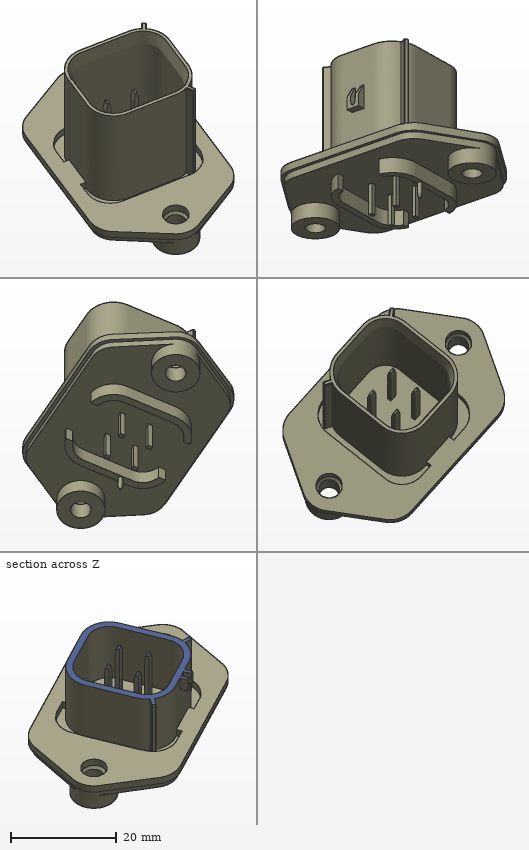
import cadquery as cq
import math

SKIRT_BOTTOM = 3.25
LOWER_BOTTOM = 6.4
UPPER_BOTTOM = 7.85
FLANGE_TOP = 9.45
SHELL_TOP = 31.1

FLANGE_LENGTH = 48.25
FLANGE_WIDTH = 30.5
FLAT_HALF = 12.7
CORNER_RADIUS = 5.4
TIP_RADIUS = 5.1
LOWER_CORNER_INSET = 0.68
HOLE_X = FLANGE_LENGTH / 2 - TIP_RADIUS

BOSS_RADIUS = 4.6
HOLE_DIAMETER = 3.9
COUNTERBORE_DIAMETER = 4.95
HOLE_CONE_DEPTH = (COUNTERBORE_DIAMETER - HOLE_DIAMETER) / 2

SHELL_LENGTH = 19.0
SHELL_WIDTH = 21.95
SHELL_RADIUS = 5.75
SHELL_WALL = 1.45
RIM_WALL = 0.68
LEAD_IN_DEPTH = 2.75

RECESS_LENGTH = 22.1
RECESS_WIDTH = 24.2
RECESS_RADIUS = 4.8
BRIDGE_WIDTH = 6.75

SKIRT_WIDTH = 21.7
SKIRT_RADIUS = SHELL_RADIUS - (SHELL_WIDTH - SKIRT_WIDTH) / 2
SKIRT_GAP = 9.95

RIB_ANGLE = 30.0
RIB_REACH = 7.4
RIB_THICKNESS = 0.9
RIB_CHAMFER = 0.2

LATCH_WIDTH = 2.8
LATCH_REACH = 1.6
LATCH_BOTTOM = 18.15
LATCH_TOP = 23.15
LATCH_SHOULDER = 20.25
LATCH_BEND_OUT = 0.4
LATCH_BEND_UP = 1.1
LATCH_GROOVE_ROOT = 0.95
LATCH_GROOVE_MOUTH = 1.35
LATCH_GROOVE_BOTTOM = 18.8

PIN_PITCH_X = 5.85
PIN_PITCH_Y = 6.0
CONTACT_LENGTH = 1.55
CONTACT_WIDTH = 0.85
CONTACT_TIP_LENGTH = 1.1
CONTACT_TIP_WIDTH = 0.4
CONTACT_TOP = 21.8
CONTACT_TAPER = 1.95
TAIL_LENGTH = 0.8
TAIL_WIDTH = 0.95

PEG_X = -8.7
PEG_Y = PIN_PITCH_Y / 2
PEG_DIAMETER = 0.9
PEG_TIP_DIAMETER = 0.4
PEG_TAPER = 0.9


def rounded_block(length, width, radius, bottom, top):
    block = cq.Workplane("XY", origin=(0, 0, bottom)).rect(length, width).extrude(top - bottom)
    return block.edges("|Z").fillet(radius)


def cylinder(x, y, radius, bottom, top):
    return cq.Workplane("XY", origin=(x, y, bottom)).circle(radius).extrude(top - bottom)


def flange_layer(corner_radius, tip_radius, bottom, top):
    """Plate whose outline wraps four corner circles and two tip circles."""
    corner_y = FLANGE_WIDTH / 2 - CORNER_RADIUS
    run = HOLE_X - FLAT_HALF
    spacing = math.hypot(run, corner_y)
    normal = math.atan2(run, corner_y) + math.asin((corner_radius - tip_radius) / spacing)
    middle = (normal + math.pi / 2) / 2

    def on_corner(angle, sx, sy):
        x = FLAT_HALF + corner_radius * math.cos(angle)
        y = corner_y + corner_radius * math.sin(angle)
        return (sx * x, sy * y)

    def on_tip(angle, sx, sy):
        return (sx * (HOLE_X + tip_radius * math.cos(angle)), sy * tip_radius * math.sin(angle))

    top_angle = math.pi / 2
    outline = (
        cq.Workplane("XY", origin=(0, 0, bottom))
        .moveTo(*on_corner(top_angle, -1, 1))
        .lineTo(*on_corner(top_angle, 1, 1))
        .threePointArc(on_corner(middle, 1, 1), on_corner(normal, 1, 1))
        .lineTo(*on_tip(normal, 1, 1))
        .threePointArc(on_tip(0, 1, 1), on_tip(normal, 1, -1))
        .lineTo(*on_corner(normal, 1, -1))
        .threePointArc(on_corner(middle, 1, -1), on_corner(top_angle, 1, -1))
        .lineTo(*on_corner(top_angle, -1, -1))
        .threePointArc(on_corner(middle, -1, -1), on_corner(normal, -1, -1))
        .lineTo(*on_tip(normal, -1, -1))
        .threePointArc(on_tip(0, -1, 1), on_tip(normal, -1, 1))
        .lineTo(*on_corner(normal, -1, 1))
        .threePointArc(on_corner(middle, -1, 1), on_corner(top_angle, -1, 1))
        .close()
    )
    return outline.extrude(top - bottom)


def flange():
    upper = flange_layer(CORNER_RADIUS, TIP_RADIUS, UPPER_BOTTOM, FLANGE_TOP)
    recess = rounded_block(RECESS_LENGTH, RECESS_WIDTH, RECESS_RADIUS, UPPER_BOTTOM, FLANGE_TOP)
    bridge = cq.Workplane("XY").box(BRIDGE_WIDTH, RECESS_WIDTH, 2 * FLANGE_TOP)
    lower_corner = CORNER_RADIUS - LOWER_CORNER_INSET
    lower = flange_layer(lower_corner, BOSS_RADIUS, LOWER_BOTTOM, UPPER_BOTTOM)
    return upper.cut(recess.cut(bridge)).union(lower)


def mounting_hole(x):
    countersink_bottom = UPPER_BOTTOM - HOLE_CONE_DEPTH
    cone = (
        cq.Workplane("XY", origin=(x, 0, countersink_bottom))
        .circle(HOLE_DIAMETER / 2)
        .workplane(offset=HOLE_CONE_DEPTH)
        .circle(COUNTERBORE_DIAMETER / 2)
        .loft()
    )
    bore = cylinder(x, 0, HOLE_DIAMETER / 2, SKIRT_BOTTOM, FLANGE_TOP)
    counterbore = cylinder(x, 0, COUNTERBORE_DIAMETER / 2, UPPER_BOTTOM, FLANGE_TOP)
    return bore.union(cone).union(counterbore)


def shell():
    return rounded_block(SHELL_LENGTH, SHELL_WIDTH, SHELL_RADIUS, UPPER_BOTTOM, SHELL_TOP)


def shell_cavity():
    """Straight cavity that widens to the rim through a tapered lead-in."""
    length = SHELL_LENGTH - 2 * SHELL_WALL
    width = SHELL_WIDTH - 2 * SHELL_WALL
    cavity = rounded_block(length, width, SHELL_RADIUS - SHELL_WALL, UPPER_BOTTOM, SHELL_TOP)
    flare = SHELL_WALL - RIM_WALL
    taper = math.degrees(math.atan2(flare, LEAD_IN_DEPTH))
    mouth = (
        cq.Sketch()
        .rect(SHELL_LENGTH - 2 * RIM_WALL, SHELL_WIDTH - 2 * RIM_WALL)
        .vertices()
        .fillet(SHELL_RADIUS - RIM_WALL)
    )
    lead_in = (
        cq.Workplane("XY", origin=(0, 0, SHELL_TOP))
        .placeSketch(mouth)
        .extrude(-LEAD_IN_DEPTH, taper=taper)
    )
    return cavity.union(lead_in)


def skirt():
    outer = rounded_block(SHELL_LENGTH, SKIRT_WIDTH, SKIRT_RADIUS, SKIRT_BOTTOM, LOWER_BOTTOM)
    inside_length = SHELL_LENGTH - 2 * SHELL_WALL
    inside_width = SKIRT_WIDTH - 2 * SHELL_WALL
    inside_radius = SKIRT_RADIUS - SHELL_WALL
    inside = rounded_block(inside_length, inside_width, inside_radius, SKIRT_BOTTOM, LOWER_BOTTOM)
    gap = cq.Workplane("XY").box(SKIRT_GAP, SKIRT_WIDTH, 2 * LOWER_BOTTOM)
    return outer.cut(inside).cut(gap)


def rib(side):
    corner_x = SHELL_LENGTH / 2 - SHELL_RADIUS
    corner_y = SHELL_WIDTH / 2 - SHELL_RADIUS
    start = SHELL_RADIUS - RIM_WALL
    length = RIB_REACH - start
    bar = (
        cq.Workplane("XY", origin=(start + length / 2, 0, UPPER_BOTTOM))
        .rect(length, RIB_THICKNESS)
        .extrude(SHELL_TOP - UPPER_BOTTOM)
        .edges(">X or >Z")
        .chamfer(RIB_CHAMFER)
        .rotate((0, 0, 0), (0, 0, 1), RIB_ANGLE)
        .translate((corner_x, corner_y, 0))
    )
    return bar if side > 0 else bar.mirror("YZ")


def latch():
    """Ramped catch with a round-bottomed groove along Y down its middle."""
    wall_y = SHELL_WIDTH / 2
    inside_y = wall_y - RIM_WALL
    tip_y = wall_y + LATCH_REACH
    body = (
        cq.Workplane("YZ", origin=(-LATCH_WIDTH / 2, 0, 0))
        .moveTo(inside_y, LATCH_BOTTOM)
        .lineTo(tip_y, LATCH_BOTTOM)
        .lineTo(tip_y, LATCH_SHOULDER)
        .tangentArcPoint((-LATCH_BEND_OUT, LATCH_BEND_UP))
        .lineTo(wall_y, LATCH_TOP)
        .lineTo(inside_y, LATCH_TOP)
        .close()
        .extrude(LATCH_WIDTH)
    )
    root = LATCH_GROOVE_ROOT / 2
    mouth = LATCH_GROOVE_MOUTH / 2
    round_z = LATCH_GROOVE_BOTTOM + root
    trough = (
        cq.Workplane("XZ", origin=(0, wall_y, 0))
        .moveTo(-mouth, LATCH_TOP)
        .lineTo(-root, round_z)
        .threePointArc((0, LATCH_GROOVE_BOTTOM), (root, round_z))
        .lineTo(mouth, LATCH_TOP)
        .close()
        .extrude(-LATCH_REACH)
    )
    return body.cut(trough)


def pin(x, y):
    tail = cq.Workplane("XY", origin=(x, y, 0)).rect(TAIL_LENGTH, TAIL_WIDTH).extrude(UPPER_BOTTOM)
    shoulder = CONTACT_TOP - CONTACT_TAPER
    blade = (
        cq.Workplane("XY", origin=(x, y, UPPER_BOTTOM))
        .rect(CONTACT_LENGTH, CONTACT_WIDTH)
        .extrude(shoulder - UPPER_BOTTOM)
    )
    tip = (
        cq.Workplane("XY", origin=(x, y, shoulder))
        .rect(CONTACT_LENGTH, CONTACT_WIDTH)
        .workplane(offset=CONTACT_TAPER)
        .rect(CONTACT_TIP_LENGTH, CONTACT_TIP_WIDTH)
        .loft()
    )
    return tail.union(blade).union(tip)


def peg():
    shank = cylinder(PEG_X, PEG_Y, PEG_DIAMETER / 2, PEG_TAPER, LOWER_BOTTOM)
    tip = (
        cq.Workplane("XY", origin=(PEG_X, PEG_Y, 0))
        .circle(PEG_TIP_DIAMETER / 2)
        .workplane(offset=PEG_TAPER)
        .circle(PEG_DIAMETER / 2)
        .loft()
    )
    return shank.union(tip)


result = flange().union(shell()).union(latch())
for side in (-1, 1):
    result = result.union(rib(side))
result = result.cut(shell_cavity()).union(skirt()).union(peg())

for x in (-PIN_PITCH_X / 2, PIN_PITCH_X / 2):
    for y in (-PIN_PITCH_Y / 2, PIN_PITCH_Y / 2):
        result = result.union(pin(x, y))

for hole_x in (-HOLE_X, HOLE_X):
    boss = cylinder(hole_x, 0, BOSS_RADIUS, SKIRT_BOTTOM, LOWER_BOTTOM)
    result = result.union(boss, clean=False)
    result = result.cut(mounting_hole(hole_x), clean=False)